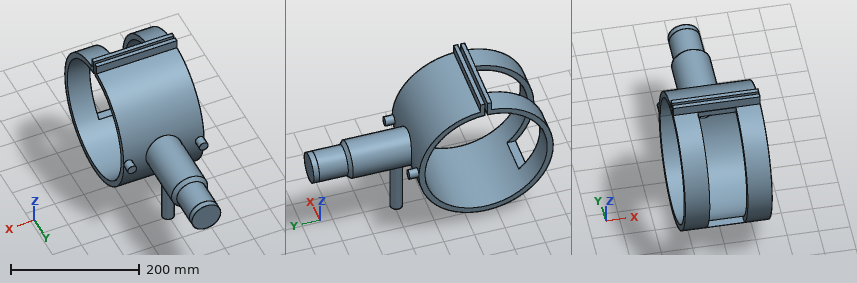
import cadquery as cq

ring_width = 138.0
ring_outer_radius = 110.0
ring_inner_radius = 100.0

split_gap = 4.5
lug_thickness = 6.8
lug_top = 125.0

window_width = 60.5
window_back = -10.0
window_floor = -75.5

overall_length = 377.8
branch_end = overall_length - ring_outer_radius
tube_radius = 31.0
neck_radius = 25.0
neck_length = 56.3
neck_start = branch_end - neck_length
shoulder_length = tube_radius - neck_radius
bore_radius = 15.0
cap_length = 9.5
radial_step = 0.2
cap_radius = neck_radius - radial_step
cap_start = branch_end - cap_length

side_pipe_diameter = 20.0
side_pipe_y = 125.0
overall_height = 250.5
side_pipe_bottom = lug_top - overall_height
pin_radius = 7.5
pin_end = 125.0


def cylinder_x(radius):
    """Cylinder along X, as wide as the ring."""
    return cq.Workplane("YZ").circle(radius).extrude(ring_width / 2, both=True)


def cylinder_y(radius, start, end, x=0):
    """Cylinder along +Y between two Y positions."""
    solid = cq.Solid.makeCylinder(radius, end - start, cq.Vector(x, start, 0), cq.Vector(0, 1, 0))
    return cq.Workplane(obj=solid)


def box_between(width, y_min, y_max, z_min, z_max):
    """Box centred on X between the given Y and Z limits."""
    return cq.Workplane("XY").box(width, y_max - y_min, z_max - z_min).translate(
        (0, (y_min + y_max) / 2, (z_min + z_max) / 2)
    )


def make_branch():
    """Turned tube with a conical shoulder down to its neck."""
    return (
        cq.Workplane("XY")
        .moveTo(0, 0)
        .lineTo(tube_radius, 0)
        .lineTo(tube_radius, neck_start - shoulder_length)
        .lineTo(neck_radius, neck_start)
        .lineTo(neck_radius, cap_start)
        .lineTo(0, cap_start)
        .close()
        .revolve(360, (0, 0, 0), (0, 1, 0))
    )


def make_side_pipe():
    """Vertical pipe hanging from the branch."""
    return (
        cq.Workplane("XY", origin=(0, side_pipe_y, side_pipe_bottom))
        .circle(side_pipe_diameter / 2)
        .extrude(-side_pipe_bottom)
    )


def make_clamp():
    """Split ring with lugs, window, branch tube, side pipe and pins."""
    lug_face = split_gap / 2 + lug_thickness
    clamp = cylinder_x(ring_outer_radius)
    clamp = clamp.union(box_between(ring_width, -lug_face, lug_face, 0, lug_top))
    clamp = clamp.union(make_branch())
    clamp = clamp.union(make_side_pipe())
    for side in (-1, 1):
        pin_x = side * (ring_width / 2 - pin_radius)
        clamp = clamp.union(cylinder_y(pin_radius, 0, pin_end, pin_x))

    clamp = clamp.cut(cylinder_x(ring_inner_radius))
    clamp = clamp.cut(box_between(ring_width, -split_gap / 2, split_gap / 2, 0, lug_top))
    window = box_between(window_width, -ring_outer_radius, window_back, window_floor, lug_top)
    clamp = clamp.cut(window)
    return clamp.cut(cylinder_y(bore_radius, 0, cap_start))


def make_end_cap():
    """Disc that closes the outer end of the branch bore."""
    return cylinder_y(cap_radius, cap_start, branch_end)


clamp = make_clamp()
end_cap = make_end_cap()

result = cq.Compound.makeCompound([clamp.solids().val(), end_cap.val()])